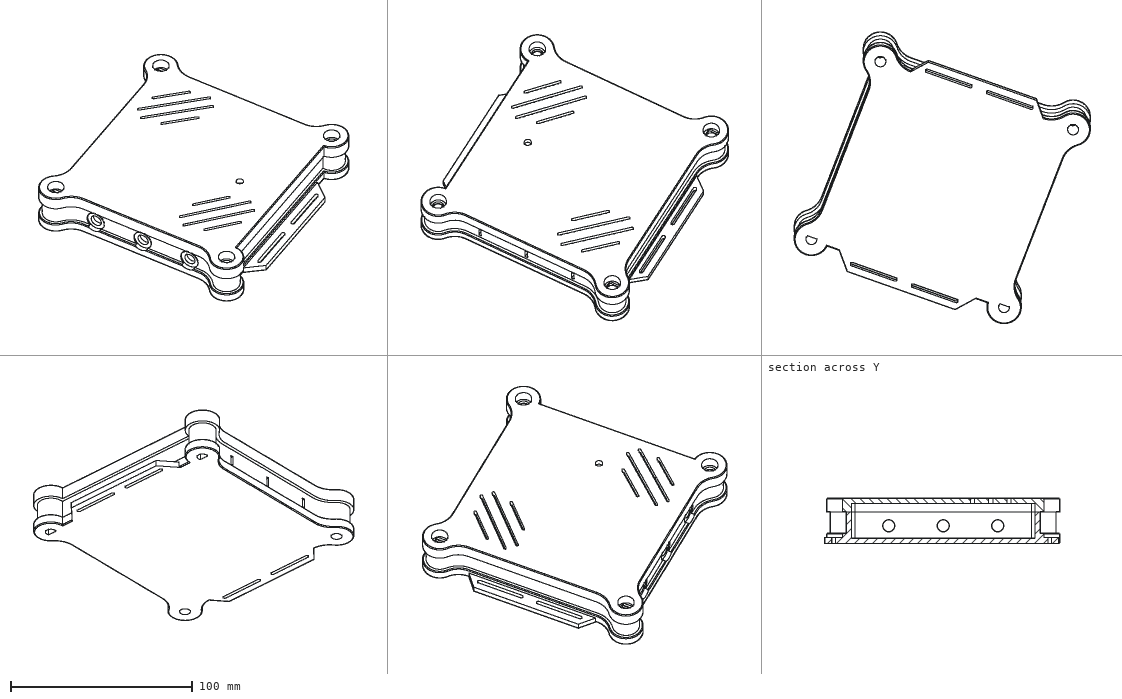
import cadquery as cq
import math

total_height = 25.0
flange_height = 5.7
lid_height = 7.5
split_height = total_height - lid_height
floor_thickness = 3.0
wall_thickness = 3.0
edge_chamfer = 0.5

total_length_y = 132.2
half_length_x = 55.5
half_length_y = 57.2
ear_x = 54.7
ear_radius = 9.5
ear_y = total_length_y / 2 - ear_radius
blend_radius = 12.7
wall_inset = 2.0

screw_head_diameter = 9.0
screw_head_depth = 5.7
lid_screw_diameter = 6.5
screw_diameter = 6.0

tab_thickness = 3.5
tab_left_end = -63.6
tab_right_end = 65.3
tab_half_length = 31.7
tab_flare_angle = 40.0
tab_slot_edge_distance = 4.9
tab_slot_width = 2.0
tab_slot_inner_y = 4.2
tab_slot_outer_y = 31.6

port_pitch = 30.0
port_height = 9.8
port_diameter = 6.5
port_recess_diameter = 11.0
port_recess_depth = 2.6
slit_pitch = 29.2
slit_width = 1.5
slit_bottom = 7.5
slit_top = 13.2

light_hole_diameter = 4.0
light_hole_x = 30.0
light_hole_y = -0.8
vent_pitch = 7.0
vent_width = 1.5
vent_long = 41.2
vent_short = 21.5
vent_lengths = [vent_short, vent_long, vent_long, vent_short]
rear_vent_center = (-30.5, 31.7)
rear_vent_angle = 44.0
front_vent_center = (32.4, -29.3)
front_vent_angle = 48.0

ear_centers = [(sx * ear_x, sy * ear_y) for sx in (-1, 1) for sy in (-1, 1)]
wall_face_x = half_length_x - wall_inset
wall_cut_depth = wall_inset + wall_thickness


def prism(sketch, bottom, top):
    """Extrude a flat sketch from the height `bottom` to the height `top`."""
    return sketch.extrude(top - bottom).translate((0, 0, bottom))


def ear_outline(inset):
    """Closed outline moved inward by `inset`; the right side meets its ears without blends."""
    side_x = half_length_x - inset
    side_y = half_length_y - inset
    radius = ear_radius - inset
    blend = blend_radius + inset
    reach = radius + blend
    diagonal = math.sqrt(0.5) * radius

    blend_y = ear_y - math.sqrt(reach**2 - (side_x + blend - ear_x) ** 2)
    blend_x = ear_x - math.sqrt(reach**2 - (side_y + blend - ear_y) ** 2)
    left_center = (-side_x - blend, blend_y)
    rear_center = (blend_x, side_y + blend)

    def toward(start, end, distance):
        span = math.dist(start, end)
        return tuple(a + (b - a) * distance / span for a, b in zip(start, end))

    def mirrored(point):
        return (-point[0], point[1])

    def lowered(point):
        return (point[0], -point[1])

    def blend_middle(center, first, second):
        chord_middle = ((first[0] + second[0]) / 2, (first[1] + second[1]) / 2)
        return toward(center, chord_middle, blend)

    right_ear = (ear_x, ear_y)
    left_ear = (-ear_x, ear_y)
    right_corner = (side_x, ear_y - math.sqrt(radius**2 - (side_x - ear_x) ** 2))
    ear_outer = (ear_x + diagonal, ear_y + diagonal)
    rear_tangent = toward(right_ear, rear_center, radius)
    rear_end = (blend_x, side_y)
    rear_middle = blend_middle(rear_center, rear_tangent, rear_end)
    left_tangent = toward(left_ear, left_center, radius)
    left_end = (-side_x, blend_y)
    left_middle = blend_middle(left_center, left_tangent, left_end)

    return (
        cq.Workplane("XY")
        .moveTo(*lowered(right_corner))
        .lineTo(*right_corner)
        .threePointArc(ear_outer, rear_tangent)
        .threePointArc(rear_middle, rear_end)
        .lineTo(*mirrored(rear_end))
        .threePointArc(mirrored(rear_middle), mirrored(rear_tangent))
        .threePointArc(mirrored(ear_outer), left_tangent)
        .threePointArc(left_middle, left_end)
        .lineTo(*lowered(left_end))
        .threePointArc(lowered(left_middle), lowered(left_tangent))
        .threePointArc(lowered(mirrored(ear_outer)), lowered(mirrored(rear_tangent)))
        .threePointArc(lowered(mirrored(rear_middle)), lowered(mirrored(rear_end)))
        .lineTo(*lowered(rear_end))
        .threePointArc(lowered(rear_middle), lowered(rear_tangent))
        .threePointArc(lowered(ear_outer), lowered(right_corner))
        .close()
    )


def ear_cylinders(diameter, bottom, top):
    """Upright cylinder at the centre of every ear."""
    return prism(cq.Workplane("XY").pushPoints(ear_centers).circle(diameter / 2), bottom, top)


def cavity(bottom, top):
    """Inner space, with a solid post left around each ear hole."""
    length_x = 2 * (half_length_x - wall_inset - wall_thickness)
    length_y = 2 * (half_length_y - wall_inset - wall_thickness)
    room = prism(cq.Workplane("XY").rect(length_x, length_y), bottom, top)
    return room.cut(ear_cylinders(2 * (ear_radius - wall_inset), bottom, top))


def mounting_tab(end_x):
    """Flat strap tab from inside the flange edge out to `end_x`, with two long slots."""
    side = math.copysign(1, end_x)
    root_x = side * wall_face_x
    flare = abs(end_x - root_x) * math.tan(math.radians(tab_flare_angle))
    root_half = tab_half_length + flare
    outline = cq.Workplane("XY").polyline([
        (root_x, -root_half),
        (end_x, -tab_half_length),
        (end_x, tab_half_length),
        (root_x, root_half),
    ]).close()
    slot_middle = (tab_slot_inner_y + tab_slot_outer_y) / 2
    slot_x = end_x - side * tab_slot_edge_distance
    slots = (
        cq.Workplane("XY")
        .pushPoints([(slot_x, -slot_middle), (slot_x, slot_middle)])
        .slot2D(tab_slot_outer_y - tab_slot_inner_y, tab_slot_width, 90)
    )
    return prism(outline, 0, tab_thickness).cut(prism(slots, 0, tab_thickness))


def cable_ports():
    """Round holes through the front wall, each with a shallow outer recess."""
    places = [(i * port_pitch, port_height) for i in (-1, 0, 1)]
    front = cq.Workplane("XZ", origin=(0, -half_length_y, 0)).pushPoints(places)
    holes = front.circle(port_diameter / 2).extrude(-wall_cut_depth)
    recesses = front.circle(port_recess_diameter / 2).extrude(-port_recess_depth)
    return holes.union(recesses)


def rear_slits():
    """Upright slits through the rear wall."""
    places = [(i * slit_pitch, half_length_y) for i in (-1, 0, 1)]
    slits = cq.Workplane("XY").pushPoints(places).rect(slit_width, 2 * wall_cut_depth)
    return prism(slits, slit_bottom, slit_top)


def make_box():
    """Lower housing: bottom flange, walls, posts and mounting tabs."""
    flange = prism(ear_outline(0), 0, flange_height).faces("<Z or >Z").edges().chamfer(edge_chamfer)
    box = flange.union(prism(ear_outline(wall_inset), flange_height, split_height))
    box = box.cut(cavity(floor_thickness, split_height))

    holes = ear_cylinders(screw_diameter, 0, split_height)
    wall_run = cq.Workplane("XY").box(
        wall_face_x, total_length_y, total_height, centered=(False, True, False)
    )
    box = box.cut(holes.cut(wall_run))

    for end_x in (tab_left_end, tab_right_end):
        box = box.union(mounting_tab(end_x))
    return box.cut(cable_ports()).cut(rear_slits())


def vent_group(center, angle):
    """Four parallel slots, the outer two shorter, turned by `angle` about `center`."""
    group = cq.Workplane("XY")
    for index, length in enumerate(vent_lengths):
        offset = ((len(vent_lengths) - 1) / 2 - index) * vent_pitch
        slot = cq.Workplane("XY").center(0, offset).slot2D(length, vent_width)
        group = group.union(slot.extrude(total_height))
    return group.rotate((0, 0, 0), (0, 0, 1), angle).translate((*center, 0))


def square_seats():
    """Square openings below the screw heads in the two left ears."""
    left_ears = [center for center in ear_centers if center[0] < 0]
    squares = cq.Workplane("XY").pushPoints(left_ears).rect(lid_screw_diameter, lid_screw_diameter)
    round_limit = ear_cylinders(screw_head_diameter, split_height, total_height)
    return prism(squares, split_height, total_height - screw_head_depth).intersect(round_limit)


def make_lid():
    """Cover with the full outline, vents, a light hole and screw head recesses."""
    lid = prism(ear_outline(0), split_height, total_height).faces(">Z").edges().chamfer(edge_chamfer)
    lid = lid.cut(cavity(split_height, total_height - floor_thickness))
    lid = lid.cut(ear_cylinders(lid_screw_diameter, split_height, total_height))
    lid = lid.cut(square_seats())
    lid = lid.cut(ear_cylinders(screw_head_diameter, total_height - screw_head_depth, total_height))
    light_hole = cq.Workplane("XY").center(light_hole_x, light_hole_y).circle(light_hole_diameter / 2)
    lid = lid.cut(light_hole.extrude(total_height))
    lid = lid.cut(vent_group(rear_vent_center, rear_vent_angle))
    return lid.cut(vent_group(front_vent_center, front_vent_angle))


box = make_box()
lid = make_lid()
result = cq.Compound.makeCompound([box.val(), lid.val()])